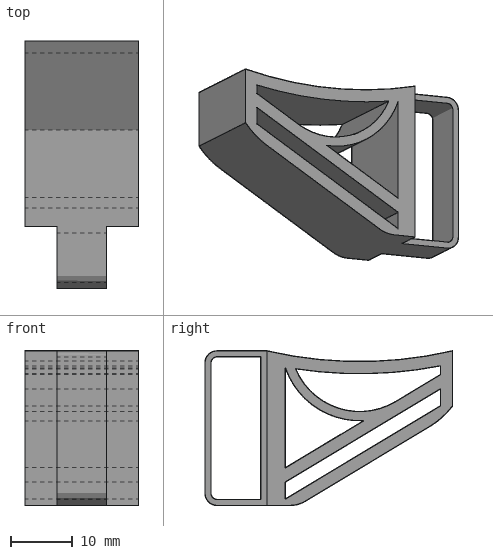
import cadquery as cq
import math

height = 25.0
body_width = 18.4
loop_width = 8.0
loop_depth = 10.0
body_depth = 30.0

loop_wall = 1.0
loop_outer_radius = 2.0

wall = 2.0
front_wall = 3.0
saddle_radius = 66.0
slope = math.radians(31)
slot_gap = 2.3
lower_slope_edge_at_front = 1.1
bottom_corner_radius = 5.0
back_curve_depth = 3.8
back_edge_height = 16.1

rib_inner_radius = 11.2
rib_thickness = 1.5

body_front = loop_depth
body_back = body_front + body_depth
body_middle = body_front + body_depth / 2
cavity_front = body_front + front_wall
cavity_back = body_back - wall

saddle_center_z = height + math.sqrt(saddle_radius**2 - (body_depth / 2) ** 2)


def slope_height(y, offset=0.0):
    """Height at y of the sloped line a perpendicular offset above the slot floor."""
    floor = lower_slope_edge_at_front + (y - cavity_front) * math.tan(slope)
    return floor + offset / math.cos(slope)


def saddle_height(y, depth=0.0):
    """Height at y of the saddle surface, or of a concentric one at a depth below it."""
    return saddle_center_z - math.sqrt((saddle_radius + depth) ** 2 - (y - body_middle) ** 2)


def extrude_centered(sketch, width):
    return sketch.extrude(width / 2, both=True)


def profile_plane():
    """Side plane whose local axes are Y and Z."""
    return cq.Workplane("YZ")


def make_body():
    bottom_corner = cavity_front + (wall / math.cos(slope) - lower_slope_edge_at_front) / math.tan(slope)
    curve_start = body_back - back_curve_depth
    outline = (
        profile_plane()
        .moveTo(body_front, 0)
        .lineTo(bottom_corner, 0)
        .lineTo(curve_start, slope_height(curve_start, -wall))
        .tangentArcPoint((body_back, back_edge_height), relative=False)
        .lineTo(body_back, height)
        .threePointArc((body_middle, saddle_height(body_middle)), (body_front, height))
        .close()
    )
    body = extrude_centered(outline, body_width)
    bottom_edge = cq.selectors.NearestToPointSelector((0, bottom_corner, 0))
    return body.edges(bottom_edge).fillet(bottom_corner_radius)


def make_slot():
    """Sloping slot between the two parallel bars."""
    outline = profile_plane().polyline([
        (cavity_front, slope_height(cavity_front)),
        (cavity_back, slope_height(cavity_back)),
        (cavity_back, slope_height(cavity_back, slot_gap)),
        (cavity_front, slope_height(cavity_front, slot_gap)),
    ]).close()
    return extrude_centered(outline, body_width)


def make_upper_cavity():
    """Opening between the upper bar and the saddle wall, divided by the curved rib."""
    bar_top = slot_gap + wall
    outline = (
        profile_plane()
        .moveTo(cavity_front, slope_height(cavity_front, bar_top))
        .lineTo(cavity_back, slope_height(cavity_back, bar_top))
        .lineTo(cavity_back, saddle_height(cavity_back, wall))
        .threePointArc(
            (body_middle, saddle_height(body_middle, wall)),
            (cavity_front, saddle_height(cavity_front, wall)),
        )
        .close()
    )
    cavity = extrude_centered(outline, body_width)

    rib_center_z = slope_height(body_middle, bar_top + rib_inner_radius)
    rib_end = body_middle + rib_inner_radius * math.sin(slope)
    rib_outer_radius = rib_inner_radius + rib_thickness
    ring = extrude_centered(
        profile_plane().center(body_middle, rib_center_z).circle(rib_outer_radius).circle(rib_inner_radius),
        body_width,
    )
    rib_range = cq.Workplane("XY").box(body_width, rib_end, 2 * height, centered=(True, False, False))
    return cavity.cut(ring.intersect(rib_range))


def make_loop():
    """Rectangular loop, rounded along its front edges and open sideways."""
    loop = cq.Workplane("XY").box(loop_width, loop_depth, height, centered=(True, False, False))
    loop = loop.edges("|X and <Y").fillet(loop_outer_radius)
    opening = cq.Workplane("XY").box(
        loop_width, loop_depth - 2 * loop_wall, height - 2 * loop_wall, centered=(True, False, False)
    )
    opening = opening.edges("|X and <Y").fillet(loop_outer_radius - loop_wall)
    return loop.cut(opening.translate((0, loop_wall, loop_wall)))


result = make_body().cut(make_slot()).cut(make_upper_cavity()).union(make_loop())